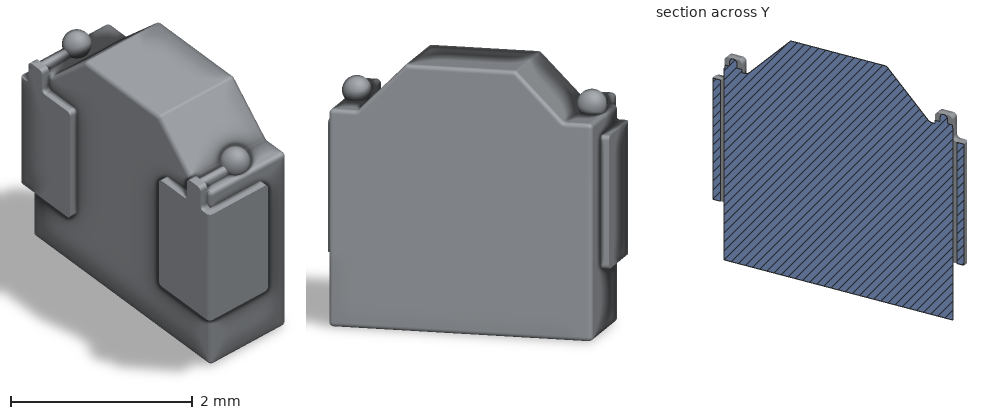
import cadquery as cq


body_width = 3.0
body_depth = 1.1
body_height = 3.0
shoulder_height = 2.45
roof_half_width = 0.625
edge_radius = 0.05
seat_height = shoulder_height - edge_radius
slope_run = body_height - shoulder_height

sheet = 0.1
overall_width = body_width + 2 * sheet
plate_bottom = 0.75
plate_height = 1.5
plate_top = plate_bottom + plate_height
front_flange_width = 0.85
side_flange_depth = 0.85
terminal_front = -body_depth - sheet

tab_width = 0.225
tab_center = body_width / 2 - edge_radius - tab_width / 2
tab_top = 2.55

wire_width = 0.1
ball_diameter = 0.326
ball_setback = 0.5
ball_y = -body_depth + ball_setback


def make_body():
    """Shouldered block with every edge rounded."""
    half_width = body_width / 2
    slope_foot = roof_half_width + slope_run
    outline = [
        (-half_width, 0),
        (half_width, 0),
        (half_width, shoulder_height),
        (slope_foot, shoulder_height),
        (roof_half_width, body_height),
        (-roof_half_width, body_height),
        (-slope_foot, shoulder_height),
        (-half_width, shoulder_height),
    ]
    block = cq.Workplane("XZ").polyline(outline).close().extrude(body_depth)
    return block.edges().fillet(edge_radius)


def make_plate():
    """L-shaped sheet on the +X side: front flange with its tab, and side flange."""
    outer_x = overall_width / 2
    inner_x = outer_x - front_flange_width
    tab_left = tab_center - tab_width / 2
    tab_right = tab_center + tab_width / 2
    front_outline = [
        (inner_x, plate_bottom),
        (outer_x, plate_bottom),
        (outer_x, plate_top),
        (tab_right, plate_top),
        (tab_right, tab_top),
        (tab_left, tab_top),
        (tab_left, plate_top),
        (inner_x, plate_top),
    ]
    front_flange = (
        cq.Workplane("XZ", origin=(0, -body_depth, 0))
        .polyline(front_outline)
        .close()
        .extrude(sheet)
    )
    rounded_reach = (outer_x + tab_right) / 2
    rounding_zone = cq.selectors.BoxSelector(
        (0, terminal_front - sheet, 0),
        (rounded_reach, 0, body_height),
    )
    front_flange = front_flange.edges("|Y").edges(rounding_zone).fillet(edge_radius)

    side_flange = (
        cq.Workplane("XY", origin=(body_width / 2, terminal_front, plate_bottom))
        .box(sheet, side_flange_depth, plate_height, centered=False)
        .faces(">Y")
        .edges("|X")
        .fillet(edge_radius)
    )
    plate = front_flange.union(side_flange)
    bend_edge = cq.selectors.NearestToPointSelector(
        (outer_x, terminal_front, plate_bottom + plate_height / 2)
    )
    return plate.edges("|Z").edges(bend_edge).fillet(edge_radius)


def make_wire():
    """Wire with a half-round top, resting on the shoulder behind the tab."""
    radius = wire_width / 2
    round_start = tab_top - radius
    return (
        cq.Workplane("XZ", origin=(tab_center, -body_depth, 0))
        .moveTo(-radius, seat_height)
        .lineTo(-radius, round_start)
        .threePointArc((0, tab_top), (radius, round_start))
        .lineTo(radius, seat_height)
        .close()
        .extrude(-ball_setback)
    )


def make_ball():
    """Ball at the rear end of the wire."""
    return cq.Workplane("XY").sphere(ball_diameter / 2).translate((tab_center, ball_y, tab_top))


def make_tab_backing():
    """Square block filling the rounded shoulder edge behind the tab."""
    return (
        cq.Workplane("XY", origin=(tab_center, -body_depth, seat_height))
        .box(tab_width, edge_radius, edge_radius, centered=(True, False, False))
    )


right_terminal = make_plate().union(make_tab_backing()).union(make_wire()).union(make_ball())
left_terminal = right_terminal.mirror("YZ")
result = make_body().union(right_terminal).union(left_terminal)